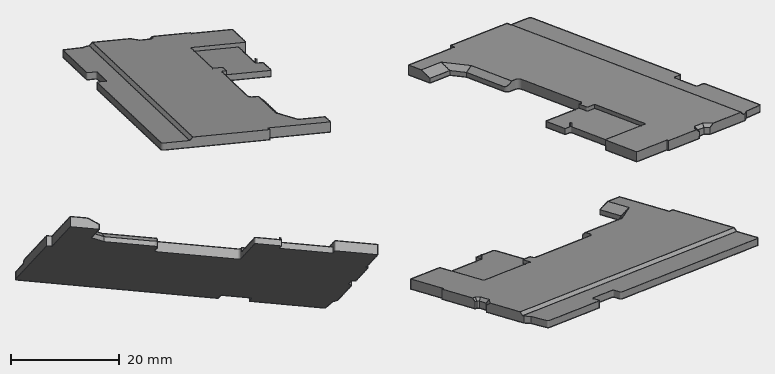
import cadquery as cq

LENGTH = 60.45
WIDTH = 33.0
THICKNESS = 2.0
OVERCUT = 0.6

LEFT_STEP_X = 0.4
LEFT_STEP_Y = 25.1
RIGHT_STEP_X = 59.45
RIGHT_STEP_Y = 20.9
TAPER_TOP_Y = 5.1
TAPER_KNEE = (0.65, 4.0)
TAPER_FOOT_X = 0.9
CORNER_RADIUS = 0.55
SMALL_RADIUS = 0.3

BEVEL_DROP = 0.6
LIP_WIDTH = 5.45
LIP_Z = THICKNESS - BEVEL_DROP

FRONT_NOTCH_LEFT = 15.55
FRONT_NOTCH_RIGHT = 21.45
FRONT_NOTCH_DEPTH = 1.95

OPENING_LEFT = 24.0
OPENING_RIGHT = 40.55
OPENING_FLOOR_Y = 23.3
OPENING_LEFT_RADIUS = 0.5
OPENING_RIGHT_RADIUS = 0.85
SHELF_KINK_X = 51.0
ARM_X = 53.9
ARM_START_Y = 27.8

RIM_DROP = 1.0
RIM_Z = THICKNESS - RIM_DROP
RIM_SHELF_Y = 25.1
RIM_ARM_X = 56.1
DIAGONAL_SLOPE = (ARM_START_Y - RIM_SHELF_Y) / (RIM_ARM_X - SHELF_KINK_X)
SHELF_Y = ARM_START_Y - DIAGONAL_SLOPE * (ARM_X - SHELF_KINK_X)

RECESS_DEPTH = 0.8
RECESS_LEFT = 8.65
RECESS_RIGHT = 21.8
RECESS_FRONT_Y = 22.3
RECESS_STEP_Y = 24.25
RECESS_BACK_Y = 31.55
TAB_LEFT = 18.9

SIDE_NOTCH_LOWER = [(-OVERCUT, 17.0), (0.5, 17.0), (0.8, 16.6), (0.8, 15.0), (-OVERCUT, 13.6)]
SIDE_NOTCH_UPPER = [(-OVERCUT, 17.6), (0.7, 17.6), (1.4, 16.85), (1.4, 14.75), (-OVERCUT, 12.75)]
SIDE_NOTCH_Z = THICKNESS - BEVEL_DROP

PICK = 0.05


def prism(points, bottom, height):
    return cq.Workplane("XY").workplane(offset=bottom).polyline(points).close().extrude(height)


def round_corners(body, corners, radius):
    """Fillet the vertical edges standing at the given XY corners."""
    for x, y in corners:
        body = body.edges(cq.selectors.BoxSelector(
            (x - PICK, y - PICK, -OVERCUT), (x + PICK, y + PICK, THICKNESS + OVERCUT), boundingbox=True,
        )).fillet(radius)
    return body


def tapered_cutter(lower, lower_z, upper):
    """Ruled cutter between a lower outline and an outline at the top face."""
    return (
        cq.Workplane("XY").workplane(offset=lower_z).polyline(lower).close()
        .workplane(offset=THICKNESS - lower_z).polyline(upper).close()
        .loft(ruled=True)
    )


def plate():
    outline = [
        (TAPER_FOOT_X, 0),
        (FRONT_NOTCH_LEFT, 0),
        (FRONT_NOTCH_LEFT, FRONT_NOTCH_DEPTH),
        (FRONT_NOTCH_RIGHT, FRONT_NOTCH_DEPTH),
        (FRONT_NOTCH_RIGHT, 0),
        (LENGTH, 0),
        (LENGTH, RIGHT_STEP_Y),
        (RIGHT_STEP_X, RIGHT_STEP_Y),
        (RIGHT_STEP_X, WIDTH),
        (ARM_X, WIDTH),
        (ARM_X, ARM_START_Y),
        (SHELF_KINK_X, SHELF_Y),
        (OPENING_RIGHT, SHELF_Y),
        (OPENING_RIGHT, OPENING_FLOOR_Y),
        (OPENING_LEFT, OPENING_FLOOR_Y),
        (OPENING_LEFT, WIDTH),
        (TAB_LEFT, WIDTH),
        (TAB_LEFT, RECESS_BACK_Y),
        (RECESS_LEFT, RECESS_BACK_Y),
        (RECESS_LEFT, WIDTH),
        (LEFT_STEP_X, WIDTH),
        (LEFT_STEP_X, LEFT_STEP_Y),
        (0, LEFT_STEP_Y),
        (0, TAPER_TOP_Y),
        TAPER_KNEE,
    ]
    small_corners = [(x, y) for x in (FRONT_NOTCH_LEFT, FRONT_NOTCH_RIGHT) for y in (0, FRONT_NOTCH_DEPTH)]
    small_corners += [
        (TAPER_FOOT_X, 0),
        (OPENING_LEFT, WIDTH),
        (TAB_LEFT, RECESS_BACK_Y),
        (RECESS_LEFT, WIDTH),
    ]
    body = prism(outline, 0, THICKNESS)
    body = round_corners(body, small_corners, SMALL_RADIUS)
    body = round_corners(body, [(LENGTH, 0)], CORNER_RADIUS)
    body = round_corners(body, [(OPENING_LEFT, OPENING_FLOOR_Y)], OPENING_LEFT_RADIUS)
    right_corners = [(OPENING_RIGHT, OPENING_FLOOR_Y), (OPENING_RIGHT, SHELF_Y)]
    return round_corners(body, right_corners, OPENING_RIGHT_RADIUS)


def lip_cutter():
    profile = [
        (-OVERCUT, LIP_Z),
        (LIP_WIDTH, LIP_Z),
        (LIP_WIDTH + BEVEL_DROP, THICKNESS),
        (-OVERCUT, THICKNESS),
    ]
    return cq.Workplane("YZ").polyline(profile).close().extrude(LENGTH)


def rim_cutter():
    def outline(shelf_y, arm_x):
        return [
            (OPENING_RIGHT - OVERCUT, shelf_y),
            (SHELF_KINK_X, shelf_y),
            (arm_x, ARM_START_Y),
            (arm_x, WIDTH + OVERCUT),
            (OPENING_RIGHT - OVERCUT, WIDTH + OVERCUT),
        ]

    return tapered_cutter(outline(SHELF_Y, ARM_X), RIM_Z, outline(RIM_SHELF_Y, RIM_ARM_X))


def recess_cutter():
    outline = [
        (RECESS_LEFT, RECESS_FRONT_Y),
        (RECESS_RIGHT, RECESS_FRONT_Y),
        (RECESS_RIGHT, RECESS_STEP_Y),
        (OPENING_LEFT + OVERCUT, RECESS_STEP_Y),
        (OPENING_LEFT + OVERCUT, WIDTH + OVERCUT),
        (TAB_LEFT, WIDTH + OVERCUT),
        (TAB_LEFT, RECESS_BACK_Y),
        (RECESS_LEFT, RECESS_BACK_Y),
    ]
    cutter = prism(outline, THICKNESS - RECESS_DEPTH, RECESS_DEPTH)
    rounded = [(RECESS_LEFT, RECESS_FRONT_Y), (RECESS_RIGHT, RECESS_STEP_Y)]
    return round_corners(cutter, rounded, SMALL_RADIUS)


def side_notch_cutter():
    """Notch through the left edge with its rim sloped at the top."""
    return prism(SIDE_NOTCH_LOWER, 0, SIDE_NOTCH_Z).union(
        tapered_cutter(SIDE_NOTCH_LOWER, SIDE_NOTCH_Z, SIDE_NOTCH_UPPER)
    )


result = (
    plate()
    .cut(lip_cutter())
    .cut(rim_cutter())
    .cut(recess_cutter())
    .cut(side_notch_cutter())
)